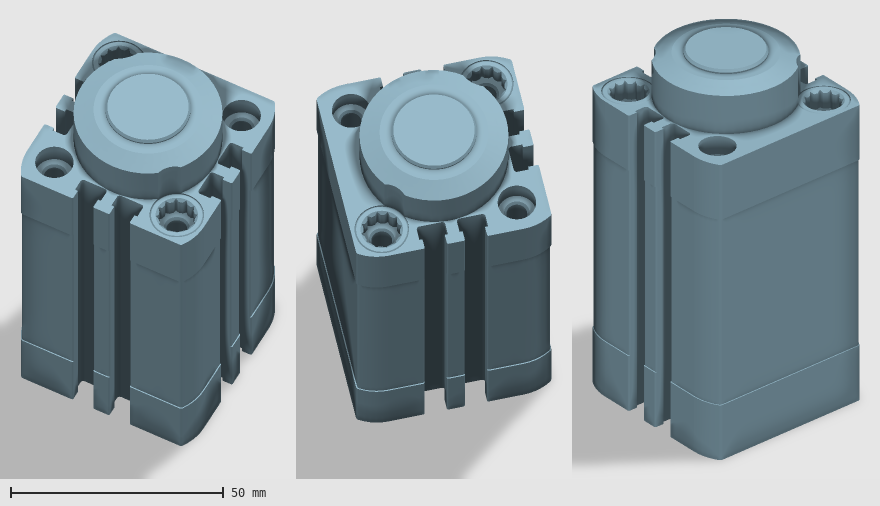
import cadquery as cq
import math

TOTAL_HEIGHT = 94.0
SIDE = 47.0
HOUSING_HEIGHT = 81.0
CAP_HEIGHT = 15.0
BARREL_INSET = 0.3
CORNER_RADIUS = 12.7
CORNER_BLEND = 0.8

SLOT_FLOOR = 17.5
LIP_INNER = 21.0
MOUTH_NEAR = 2.2
MOUTH_FAR = 7.5
CAVITY_NEAR = 1.4
CAVITY_FAR = 8.3
MOUTH_ROUND = 0.4
CAVITY_ROUND = 0.75
SLOT_OVERCUT = 0.9

HOLE_OFFSET = 16.3
HOLE_DIAMETER = 4.9
COUNTERSINK_DIAMETER = 6.0
COUNTERBORE_DIAMETER = 9.0
COUNTERBORE_DEPTH = 5.0
HEAD_DIAMETER = 12.8
HEAD_CHAMFER = 0.4
SOCKET_DIAMETER = 8.6
SOCKET_POINT_DIAMETER = 9.8
SOCKET_MOUTH_DIAMETER = 10.0
SPLINE_SQUARES = 3
SQUARE_SIDES = 4

COLLAR_DIAMETER = 35.0
COLLAR_TOP_DIAMETER = 25.6
ROD_PROJECTION = 1.0
SHOULDER_HEIGHT = 1.5
COLLAR_TOP = TOTAL_HEIGHT - ROD_PROJECTION
COLLAR_EDGE = COLLAR_TOP - SHOULDER_HEIGHT
ROD_DIAMETER = 20.0
ROD_CHAMFER_WIDTH = 0.5
ROD_CHAMFER_HEIGHT = 0.7
ROD_BOTTOM = HOUSING_HEIGHT - CAP_HEIGHT

PLAIN_CORNERS = [(-HOLE_OFFSET, -HOLE_OFFSET), (HOLE_OFFSET, HOLE_OFFSET)]
SCREW_CORNERS = [(-HOLE_OFFSET, HOLE_OFFSET), (HOLE_OFFSET, -HOLE_OFFSET)]
SLOT_SIDES = [-90, 0, 90]


def cylinder(diameter, bottom, top, center=(0, 0)):
    """Upright cylinder between two heights."""
    return cq.Workplane("XY", origin=(*center, bottom)).circle(diameter / 2).extrude(top - bottom)


def cone(bottom_diameter, top_diameter, bottom, top, center=(0, 0)):
    """Upright truncated cone between two heights."""
    base = cq.Vector(*center, bottom)
    solid = cq.Solid.makeCone(bottom_diameter / 2, top_diameter / 2, top - bottom, base)
    return cq.Workplane(obj=solid)


def t_slot_cutter(half, height, mirror):
    """Cutter for one T-slot in the -Y side; mirror is +1 or -1 for the two sides of the middle rib."""
    outline = [
        (MOUTH_NEAR, -half - SLOT_OVERCUT),
        (MOUTH_FAR, -half - SLOT_OVERCUT),
        (MOUTH_FAR, -LIP_INNER),
        (CAVITY_FAR, -LIP_INNER),
        (CAVITY_FAR, -SLOT_FLOOR),
        (CAVITY_NEAR, -SLOT_FLOOR),
        (CAVITY_NEAR, -LIP_INNER),
        (MOUTH_NEAR, -LIP_INNER),
    ]
    points = [(mirror * x, y) for x, y in outline]
    cutter = cq.Workplane("XY").polyline(points).close().extrude(height)
    return cutter.faces(">Y").edges("|Z").fillet(CAVITY_ROUND)


def round_slot_mouths(body, half, height):
    """Round the vertical edges where the slots open through the -Y, -X and +X sides."""
    reach = MOUTH_FAR + MOUTH_ROUND
    depth = MOUTH_ROUND / 2
    boxes = [((-reach, -half - depth, 0), (reach, -half + depth, height))]
    for side_x in (-half, half):
        boxes.append(((side_x - depth, -reach, 0), (side_x + depth, reach, height)))
    for low, high in boxes:
        near_side = cq.selectors.BoxSelector(low, high)
        body = body.edges("|Z").edges(near_side).fillet(MOUTH_ROUND)
    return body


def section(half, bottom, height):
    """Length of housing profile with rounded corners and T-slots in three sides."""
    arc_center = half - CORNER_RADIUS
    rise = half - HOLE_OFFSET
    corner_x = arc_center + math.sqrt(CORNER_RADIUS**2 - rise**2)
    middle_angle = math.asin(rise / CORNER_RADIUS) / 2
    middle_x = arc_center + CORNER_RADIUS * math.cos(middle_angle)
    middle_y = HOLE_OFFSET + CORNER_RADIUS * math.sin(middle_angle)
    body = (
        cq.Workplane("XY")
        .moveTo(-corner_x, half)
        .lineTo(corner_x, half)
        .threePointArc((middle_x, middle_y), (half, HOLE_OFFSET))
        .lineTo(half, -HOLE_OFFSET)
        .threePointArc((middle_x, -middle_y), (corner_x, -half))
        .lineTo(-corner_x, -half)
        .threePointArc((-middle_x, -middle_y), (-half, -HOLE_OFFSET))
        .lineTo(-half, HOLE_OFFSET)
        .threePointArc((-middle_x, middle_y), (-corner_x, half))
        .close()
        .extrude(height)
    )
    body = body.faces("<Y or >Y").edges("|Z").fillet(CORNER_BLEND)
    for turn in SLOT_SIDES:
        for mirror in (-1, 1):
            cutter = t_slot_cutter(half, height, mirror)
            body = body.cut(cutter.rotate((0, 0, 0), (0, 0, 1), turn))
    body = round_slot_mouths(body, half, height)
    return body.translate((0, 0, bottom))


def collar():
    """Round bearing collar with a conical shoulder, cleared beside the two screw heads."""
    body = cylinder(COLLAR_DIAMETER, HOUSING_HEIGHT, COLLAR_EDGE)
    body = body.union(cone(COLLAR_DIAMETER, COLLAR_TOP_DIAMETER, COLLAR_EDGE, COLLAR_TOP))
    for corner in SCREW_CORNERS:
        body = body.cut(cylinder(HEAD_DIAMETER, HOUSING_HEIGHT, COLLAR_TOP, corner))
    return body


def corner_hole(corner):
    """Through hole with a small countersink on the floor of the recess above it."""
    floor = HOUSING_HEIGHT - COUNTERBORE_DEPTH
    countersink_depth = (COUNTERSINK_DIAMETER - HOLE_DIAMETER) / 2
    hole = cylinder(HOLE_DIAMETER, 0, floor, corner)
    return hole.union(cone(HOLE_DIAMETER, COUNTERSINK_DIAMETER, floor - countersink_depth, floor, corner))


def counterbore(corner):
    """Round recess above a plain corner hole."""
    return cylinder(COUNTERBORE_DIAMETER, HOUSING_HEIGHT - COUNTERBORE_DEPTH, HOUSING_HEIGHT, corner)


def socket(corner):
    """Twelve-point spline socket, a round hole with crossed squares, and its conical mouth."""
    floor = HOUSING_HEIGHT - COUNTERBORE_DEPTH
    body = cylinder(SOCKET_DIAMETER, floor, HOUSING_HEIGHT, corner)
    square = (
        cq.Workplane("XY", origin=(*corner, floor))
        .polygon(SQUARE_SIDES, SOCKET_POINT_DIAMETER)
        .extrude(COUNTERBORE_DEPTH)
    )
    step_angle = 360 / (SPLINE_SQUARES * SQUARE_SIDES)
    for index in range(SPLINE_SQUARES):
        body = body.union(square.rotate((*corner, 0), (*corner, 1), index * step_angle))
    mouth_bottom = HOUSING_HEIGHT - (SOCKET_MOUTH_DIAMETER - SOCKET_DIAMETER) / 2
    return body.union(cone(SOCKET_DIAMETER, SOCKET_MOUTH_DIAMETER, mouth_bottom, HOUSING_HEIGHT, corner))


def head_groove(corner):
    """V-groove left between the chamfered rim of a screw head and its recess."""
    bottom = HOUSING_HEIGHT - HEAD_CHAMFER
    rim = cone(HEAD_DIAMETER, HEAD_DIAMETER - 2 * HEAD_CHAMFER, bottom, HOUSING_HEIGHT, corner)
    return cylinder(HEAD_DIAMETER, bottom, HOUSING_HEIGHT, corner).cut(rim)


def make_housing():
    """Profiled cylinder housing with end caps, collar, corner holes and the bore for the rod."""
    half = SIDE / 2
    barrel_height = HOUSING_HEIGHT - 2 * CAP_HEIGHT
    body = section(half - BARREL_INSET, CAP_HEIGHT, barrel_height)
    for bottom in (0, HOUSING_HEIGHT - CAP_HEIGHT):
        body = body.union(section(half, bottom, CAP_HEIGHT))
    body = body.union(collar())
    for corner in PLAIN_CORNERS:
        body = body.cut(corner_hole(corner)).cut(counterbore(corner))
    for corner in SCREW_CORNERS:
        body = body.cut(corner_hole(corner)).cut(socket(corner)).cut(head_groove(corner))
    return body.cut(cylinder(ROD_DIAMETER, ROD_BOTTOM, COLLAR_TOP))


def make_rod():
    """Piston rod with a chamfered top."""
    shoulder = TOTAL_HEIGHT - ROD_CHAMFER_HEIGHT
    tip_diameter = ROD_DIAMETER - 2 * ROD_CHAMFER_WIDTH
    shaft = cylinder(ROD_DIAMETER, ROD_BOTTOM, shoulder)
    return shaft.union(cone(ROD_DIAMETER, tip_diameter, shoulder, TOTAL_HEIGHT))


housing = make_housing()
rod = make_rod()

result = cq.Compound.makeCompound([housing.val(), rod.val()])